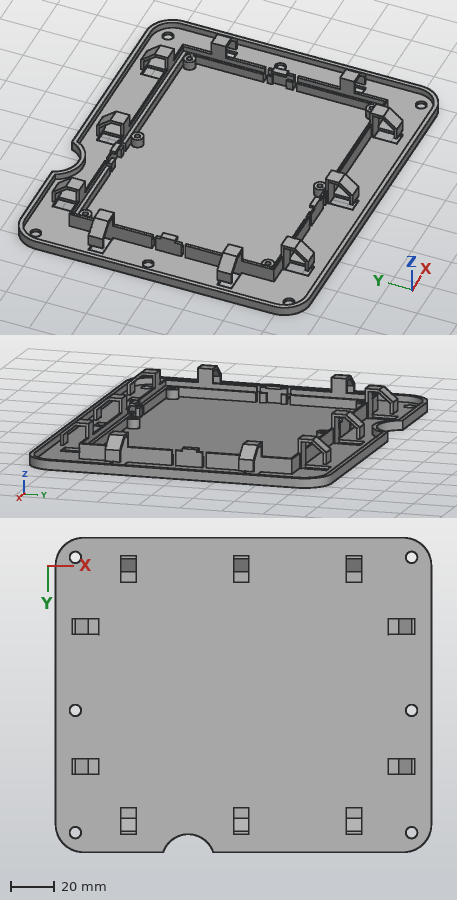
import cadquery as cq

LENGTH = 173.0
WIDTH = 144.8
TOTAL_HEIGHT = 15.2
RIM_HEIGHT = 4.5
RIM_THICKNESS = 2.0
CORNER_RADIUS = 13.0
FLOOR = 1.4

NOTCH_X = -25.5
NOTCH_RADIUS = 12.1
NOTCH_DEPTH = 8.3
NOTCH_Y = WIDTH / 2 - NOTCH_DEPTH + NOTCH_RADIUS

HOLE_DIAMETER = 5.2
HOLE_X = 77.3
HOLE_YS = (-63.3, 7.1, 63.3)

FRAME_TOP = 8.5
LEDGE_TOP = 5.9
FRAME_HALF_LENGTH = 66.6
FRAME_HALF_WIDTH = 51.2
FRAME_THICKNESS = 2.6
BOARD_HALF_LENGTH = 65.2
BOARD_HALF_WIDTH = 50.5

POST_DIAMETER = 5.7
POST_BORE = 2.5
POST_PITCH_X = 60.9
POST_CENTER_X = 0.3
POST_Y = 45.7

LATCH_GAP = 1.9
TAB_TOP = 9.7
TAB_REACH = 1.9
LONG_LATCH_X = -15.7
LONG_LATCH_WIDTH = 14.2
LONG_TAB_X = -15.2
LONG_TAB_WIDTH = 6.7
SHORT_LATCH_Y = 1.5
SHORT_LATCH_WIDTH = 12.8
SHORT_TAB_Y = 1.9
SHORT_TAB_WIDTH = 7.1

CLIP_WIDTH = 7.1
CLIP_THICKNESS = 1.4
CLIP_REACH = 13.5
CLIP_FOLD = 6.7
CLIP_SHOULDER = 9.7
CLIP_TIP = 4.2
LONG_CLIP_CENTER_X = -1.0
LONG_CLIP_PITCH = 51.9
SHORT_CLIP_CENTER_Y = 0.7
SHORT_CLIP_HALF_PITCH = 32.2


def box(x0, x1, y0, y1, z0, z1):
    """Box between two opposite corners."""
    return cq.Workplane("XY").box(x1 - x0, y1 - y0, z1 - z0, centered=False).translate((x0, y0, z0))


def slab(half_length, half_width, z0, z1):
    """Rectangular slab centred on the Z axis."""
    return box(-half_length, half_length, -half_width, half_width, z0, z1)


def cylinder(x, y, diameter, z0, z1):
    return cq.Workplane("XY", origin=(x, y, z0)).circle(diameter / 2).extrude(z1 - z0)


def tray_outline(inset, z0, z1):
    """Rounded plate with the notch, shrunk by the inset all round."""
    plate = slab(LENGTH / 2 - inset, WIDTH / 2 - inset, z0, z1).edges("|Z").fillet(CORNER_RADIUS - inset)
    return plate.cut(cylinder(NOTCH_X, NOTCH_Y, 2 * (NOTCH_RADIUS + inset), z0, z1))


def make_tray():
    tray = tray_outline(0, 0, RIM_HEIGHT).cut(tray_outline(RIM_THICKNESS, FLOOR, RIM_HEIGHT))
    for x in (-HOLE_X, HOLE_X):
        for y in HOLE_YS:
            tray = tray.cut(cylinder(x, y, HOLE_DIAMETER, 0, FLOOR))
    return tray


def make_frame():
    inner_half_length = FRAME_HALF_LENGTH - FRAME_THICKNESS
    inner_half_width = FRAME_HALF_WIDTH - FRAME_THICKNESS
    frame = slab(FRAME_HALF_LENGTH, FRAME_HALF_WIDTH, 0, FRAME_TOP)
    frame = frame.cut(slab(BOARD_HALF_LENGTH, BOARD_HALF_WIDTH, LEDGE_TOP, FRAME_TOP))
    return frame.cut(slab(inner_half_length, inner_half_width, 0, FRAME_TOP))


def place(shape, turn):
    """Turn a shape built along the +X side onto another side."""
    return shape.rotate((0, 0, 0), (0, 0, 1), turn)


def add_latch(body, turn, board_edge, frame_edge, latch_at, latch_width, tab_at, tab_width):
    """Cut the two gaps and the ledge relief, then add the tab."""
    frame_inside = frame_edge - FRAME_THICKNESS
    for side in (-1, 1):
        gap_at = latch_at + side * (latch_width + LATCH_GAP) / 2
        gap = box(frame_inside, frame_edge, gap_at - LATCH_GAP / 2, gap_at + LATCH_GAP / 2, FLOOR, FRAME_TOP)
        body = body.cut(place(gap, turn))
    tab_start = tab_at - tab_width / 2
    tab_end = tab_at + tab_width / 2
    relief = box(frame_inside, board_edge, tab_start, tab_end, FLOOR, FRAME_TOP)
    tab = box(board_edge - TAB_REACH, frame_edge, tab_start, tab_end, FRAME_TOP, TAB_TOP)
    return body.cut(place(relief, turn)).union(place(tab, turn))


def clip_outline(board_edge, back):
    """Closed outline of a clip, including the space it bends around."""
    outer_end = board_edge + CLIP_REACH
    return (
        cq.Workplane("XZ", origin=(0, back, 0))
        .moveTo(board_edge, 0)
        .lineTo(board_edge, TOTAL_HEIGHT)
        .lineTo(board_edge + CLIP_FOLD, TOTAL_HEIGHT)
        .lineTo(outer_end, CLIP_SHOULDER)
        .lineTo(outer_end, 0)
        .close()
    )


def add_clip(body, turn, board_edge, clip_at):
    """Open the floor below the clip and add the bent strip."""
    front = clip_at - CLIP_WIDTH / 2
    back = clip_at + CLIP_WIDTH / 2
    leg_face = board_edge + CLIP_THICKNESS
    outer_end = board_edge + CLIP_REACH
    window = box(leg_face, outer_end, front, back, 0, TOTAL_HEIGHT)
    strip = clip_outline(board_edge, back).extrude(CLIP_WIDTH)
    strip = strip.cut(clip_outline(board_edge, back).offset2D(-CLIP_THICKNESS).extrude(CLIP_WIDTH))
    strip = strip.cut(box(leg_face, outer_end, front, back, 0, CLIP_TIP))
    return body.cut(place(window, turn)).union(place(strip, turn))


def add_posts(body):
    for column in (-1, 0, 1):
        x = POST_CENTER_X + column * POST_PITCH_X
        for y in (-POST_Y, POST_Y):
            body = body.union(cylinder(x, y, POST_DIAMETER, 0, LEDGE_TOP))
            body = body.cut(cylinder(x, y, POST_BORE, FLOOR, LEDGE_TOP))
    return body


result = make_tray().union(make_frame())
result = add_posts(result)

for side, turn in ((1, 0), (-1, 180)):
    result = add_latch(result, turn, BOARD_HALF_LENGTH, FRAME_HALF_LENGTH,
                       side * SHORT_LATCH_Y, SHORT_LATCH_WIDTH, side * SHORT_TAB_Y, SHORT_TAB_WIDTH)
    for step in (-1, 1):
        clip_y = SHORT_CLIP_CENTER_Y + step * SHORT_CLIP_HALF_PITCH
        result = add_clip(result, turn, BOARD_HALF_LENGTH, side * clip_y)

for side, turn in ((-1, 90), (1, 270)):
    result = add_latch(result, turn, BOARD_HALF_WIDTH, FRAME_HALF_WIDTH,
                       side * LONG_LATCH_X, LONG_LATCH_WIDTH, side * LONG_TAB_X, LONG_TAB_WIDTH)
    for step in (-1, 0, 1):
        clip_x = LONG_CLIP_CENTER_X + step * LONG_CLIP_PITCH
        result = add_clip(result, turn, BOARD_HALF_WIDTH, side * clip_x)